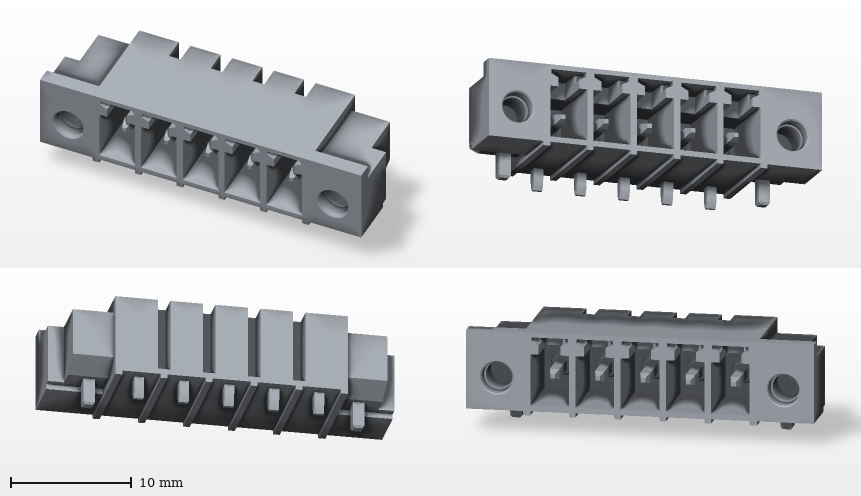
import cadquery as cq


length = 29.35
depth = 9.2
height = 7.07
standoff = 0.35
body_width = 19.72
flange_thickness = 1.32

ear_top = 5.85
ear_depth = 8.6
ear_rear_width = 26.65
ear_front_depth = 4.93
ear_step_y = 4.28
ear_underside = 0.8
ear_slope_start_y = 6.5
ear_slope_end_z = 1.8

contact_count = 5
pitch = 3.8
contact_z = 3.08
wall = 0.55
cavity_width = pitch - wall
cavity_depth = 6.45
cavity_bottom = 0.82
cavity_top = 5.22

slot_width = 1.85
slot_top = 6.65
slot_depth = 3.52
wing_span = 3.08
wing_depth = 1.17
wing_outer_z = 6.3
wing_inner_z = 6.01

collar_base_radius = 1.1
collar_front_radius = 0.9
collar_length = 0.88
collar_fillet = 0.2

notch_width = 1.05
notch_depth = 1.95
notch_floor = cavity_bottom

screw_x = 12.1
screw_z = contact_z
mouth_radius = 1.32
mouth_depth = 1.17
mouth_chamfer = 0.12
screw_radius = 1.15
screw_depth = 3.52

wire = 0.82
tip_y = 1.38
tip_length = 0.88
tip_width = 0.38
leg_y = 7.85
leg_end_z = -1.5
leg_taper_z = -0.45
leg_end_width = 0.32

peg_x = 11.4
peg_y = 5.57
peg_width = 1.0
peg_chamfer_width = 0.15
peg_chamfer_height = 0.2
peg_length = 3.1

contact_xs = [(i - (contact_count - 1) / 2) * pitch for i in range(contact_count)]
gap_xs = [(i - contact_count / 2) * pitch for i in range(1, contact_count)]


def block(x_range, y_range, z_range):
    """Box between the given limits."""
    (x0, x1), (y0, y1), (z0, z1) = x_range, y_range, z_range
    return cq.Workplane("XY").box(x1 - x0, y1 - y0, z1 - z0, centered=False).translate((x0, y0, z0))


def centered_block(x, width, y_range, z_range):
    """Box of the given width, centred on x."""
    return block((x - width / 2, x + width / 2), y_range, z_range)


def cylinder(x, z, radius, y_start, y_end):
    """Cylinder along Y."""
    circle = cq.Workplane("XZ", origin=(x, y_start, z)).circle(radius)
    return circle.extrude(-(y_end - y_start))


def ears():
    """Bar over the whole length, sloped underneath at the back and narrower behind."""
    side = [
        (0, standoff),
        (ear_step_y, standoff),
        (ear_step_y, ear_underside),
        (ear_slope_start_y, ear_underside),
        (ear_depth, ear_slope_end_z),
        (ear_depth, ear_top),
        (0, ear_top),
    ]
    bar = cq.Workplane("YZ").polyline(side).close().extrude(length / 2, both=True)
    corner_width = (length - ear_rear_width) / 2
    corner_x = (length - corner_width) / 2
    for x in (-corner_x, corner_x):
        bar = bar.cut(centered_block(x, corner_width, (ear_front_depth, ear_depth), (0, height)))
    return bar


def ribs():
    """Standing ribs under the walls beside the cavities, the two outer ones flush with the body."""
    inner_edge = contact_xs[-1] + cavity_width / 2
    spans = [(-body_width / 2, -inner_edge), (inner_edge, body_width / 2)]
    spans += [(x - wall / 2, x + wall / 2) for x in gap_xs]
    return [block(span, (0, depth), (0, standoff)) for span in spans]


def coding_slot(x):
    """Slot above a cavity, with shallow wings whose floors slope down towards the middle."""
    slot = centered_block(x, slot_width, (0, slot_depth), (cavity_top, slot_top))
    wings = (
        cq.Workplane("XZ", origin=(x, 0, 0))
        .moveTo(-wing_span / 2, slot_top)
        .lineTo(-wing_span / 2, wing_outer_z)
        .lineTo(-slot_width / 2, wing_inner_z)
        .lineTo(slot_width / 2, wing_inner_z)
        .lineTo(wing_span / 2, wing_outer_z)
        .lineTo(wing_span / 2, slot_top)
        .close()
        .extrude(-wing_depth)
    )
    return slot.union(wings)


def collar(x):
    """Tapered collar with a rounded front, standing on the cavity's back wall."""
    cone = cq.Workplane("XZ", origin=(x, cavity_depth, contact_z)).circle(collar_base_radius)
    cone = cone.workplane(offset=collar_length).circle(collar_front_radius).loft()
    return cone.faces("<Y").edges().fillet(collar_fillet)


def screw_hole(x):
    """Stepped blind hole with a chamfered mouth."""
    mouth = cylinder(x, screw_z, mouth_radius, 0, mouth_depth)
    bore = cylinder(x, screw_z, screw_radius, 0, screw_depth)
    rim = cq.Workplane("XZ", origin=(x, 0, screw_z)).circle(mouth_radius + mouth_chamfer)
    rim = rim.workplane(offset=-mouth_chamfer).circle(mouth_radius).loft()
    return mouth.union(bore).union(rim)


def taper_middle():
    """Middle point of the front taper arc, which starts tangent to the straight leg."""
    inset = (wire - leg_end_width) / 2
    drop = leg_taper_z - leg_end_z
    radius = (inset**2 + drop**2) / (2 * inset)
    middle_drop = drop / 2
    return (leg_y - wire / 2 + radius - (radius**2 - middle_drop**2) ** 0.5, leg_taper_z - middle_drop)


def contact(x):
    """Square wire with a pyramid tip in front and a leg whose end narrows in two arcs."""
    shoulder_y = tip_y + tip_length
    half = wire / 2
    half_end = leg_end_width / 2
    top = contact_z + half
    bent_wire = (
        cq.Workplane("YZ", origin=(x - half, 0, 0))
        .moveTo(shoulder_y, top)
        .lineTo(leg_y + half, top)
        .lineTo(leg_y + half, leg_taper_z)
        .tangentArcPoint((leg_y + half_end, leg_end_z), relative=False)
        .lineTo(leg_y - half_end, leg_end_z)
        .threePointArc(taper_middle(), (leg_y - half, leg_taper_z))
        .lineTo(leg_y - half, contact_z - half)
        .lineTo(shoulder_y, contact_z - half)
        .close()
        .extrude(wire)
    )
    tip = cq.Workplane("XZ", origin=(x, shoulder_y, contact_z)).rect(wire, wire)
    tip = tip.workplane(offset=tip_length).rect(tip_width, tip_width).loft()
    return bent_wire.union(tip)


def peg(x):
    """Square peg, chamfered at its lower end."""
    top = leg_end_z + peg_length
    square = centered_block(x, peg_width, (peg_y - peg_width / 2, peg_y + peg_width / 2), (leg_end_z, top))
    return square.faces("<Z").chamfer(peg_chamfer_height, peg_chamfer_width)


def make_housing(bodies_inside):
    """Insulating housing with seats for the contacts and pegs."""
    shell = ears()
    shell = shell.union(centered_block(0, length, (0, flange_thickness), (standoff, height)))
    shell = shell.union(centered_block(0, body_width, (0, depth), (standoff, height)))
    for rib in ribs():
        shell = shell.union(rib)
    for x in contact_xs:
        shell = shell.cut(centered_block(x, cavity_width, (0, cavity_depth), (cavity_bottom, cavity_top)))
        shell = shell.cut(coding_slot(x))
        shell = shell.union(collar(x))
    for x in gap_xs:
        shell = shell.cut(centered_block(x, notch_width, (depth - notch_depth, depth), (notch_floor, height)))
    for x in (-screw_x, screw_x):
        shell = shell.cut(screw_hole(x))
    for body in bodies_inside:
        shell = shell.cut(body)
    return shell


contacts = [contact(x) for x in contact_xs]
pegs = [peg(x) for x in (-peg_x, peg_x)]
housing = make_housing(contacts + pegs)

result = cq.Compound.makeCompound([housing.val(), *[body.val() for body in contacts + pegs]])